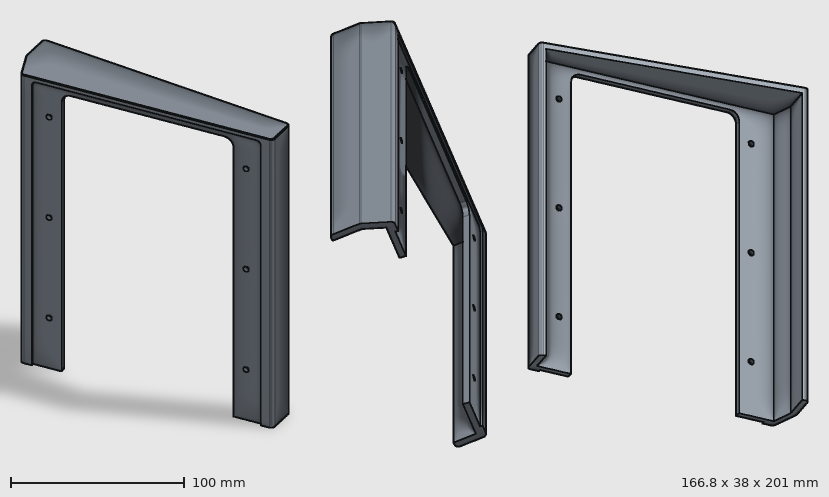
import cadquery as cq
import math

WIDTH = 166.8
DEPTH = 38.0
HEIGHT = 201.0

BACK_TILT = math.radians(6.5)
FRONT_LEFT_X = 5.2
LEFT_RIDGE_Y = 18.9
LEFT_RIDGE_X = -0.05
EDGE_RADIUS = 2.5
TOP_CHAMFER = 0.5

WALL = 4.0
RECESS_DEPTH = 1.6
PLATE_BACK_Y = RECESS_DEPTH + WALL

FRAME_CENTER_X = 84.8
RECESS_WIDTH = 145.1
RECESS_TOP_Z = 198.0
RECESS_RADIUS = 3.0
OPENING_WIDTH = 109.0
OPENING_TOP_Z = 193.5
OPENING_RADIUS = 6.0

HOLE_DIAMETER = 3.5
HOLE_SPACING_X = 124.8
HOLE_SPACING_Z = 70.0
LOWEST_HOLE_Z = HOLE_SPACING_Z / 2
HOLES_PER_LEG = 3


def wedge_outline():
    """Sharp corners of the wedge, starting at the front left and going round clockwise."""
    tan_tilt = math.tan(BACK_TILT)
    trim = EDGE_RADIUS * (math.cos(BACK_TILT) + math.sin(BACK_TILT) - 1)
    back_left_y = DEPTH + trim
    back_left_x = LEFT_RIDGE_X + (back_left_y - LEFT_RIDGE_Y) * tan_tilt
    back_right_x = WIDTH + trim
    back_right_y = back_left_y - (back_right_x - back_left_x) * tan_tilt
    front_right_x = back_right_x - back_right_y * tan_tilt
    return [
        (FRONT_LEFT_X, 0),
        (LEFT_RIDGE_X, LEFT_RIDGE_Y),
        (back_left_x, back_left_y),
        (back_right_x, back_right_y),
        (front_right_x, 0),
    ]


def wedge_body():
    """Solid wedge with rounded upright edges and a small chamfer round the top."""
    body = cq.Workplane("XY").polyline(wedge_outline()).close().extrude(HEIGHT)
    return body.edges("|Z").fillet(EDGE_RADIUS).faces(">Z").chamfer(TOP_CHAMFER)


def cavity():
    """Space behind the front plate, one wall inside both ends and the top."""
    inner = (
        cq.Workplane("XY")
        .polyline(wedge_outline())
        .close()
        .offset2D(-WALL, "intersection")
        .extrude(HEIGHT - WALL)
    )
    behind_plate = cq.Workplane("XY").box(WIDTH, DEPTH, HEIGHT, centered=False).translate((0, PLATE_BACK_Y, 0))
    push = 2 * WALL
    step = (push * math.sin(BACK_TILT), push * math.cos(BACK_TILT), 0)
    return inner.union(inner.translate(step)).intersect(behind_plate)


def arch_cut(width, top_z, radius, depth):
    """Cutter from the front face with rounded upper corners, running out at the foot."""
    return (
        cq.Workplane("XY")
        .box(width, depth, top_z, centered=(True, False, False))
        .edges("|Y and >Z")
        .fillet(radius)
        .translate((FRAME_CENTER_X, 0, 0))
    )


def screw_holes():
    points = [
        (FRAME_CENTER_X + side * HOLE_SPACING_X / 2, LOWEST_HOLE_Z + row * HOLE_SPACING_Z)
        for side in (-1, 1)
        for row in range(HOLES_PER_LEG)
    ]
    return cq.Workplane("XZ").pushPoints(points).circle(HOLE_DIAMETER / 2).extrude(-PLATE_BACK_Y)


result = (
    wedge_body()
    .cut(cavity())
    .cut(arch_cut(RECESS_WIDTH, RECESS_TOP_Z, RECESS_RADIUS, RECESS_DEPTH))
    .cut(arch_cut(OPENING_WIDTH, OPENING_TOP_Z, OPENING_RADIUS, PLATE_BACK_Y))
    .cut(screw_holes())
)